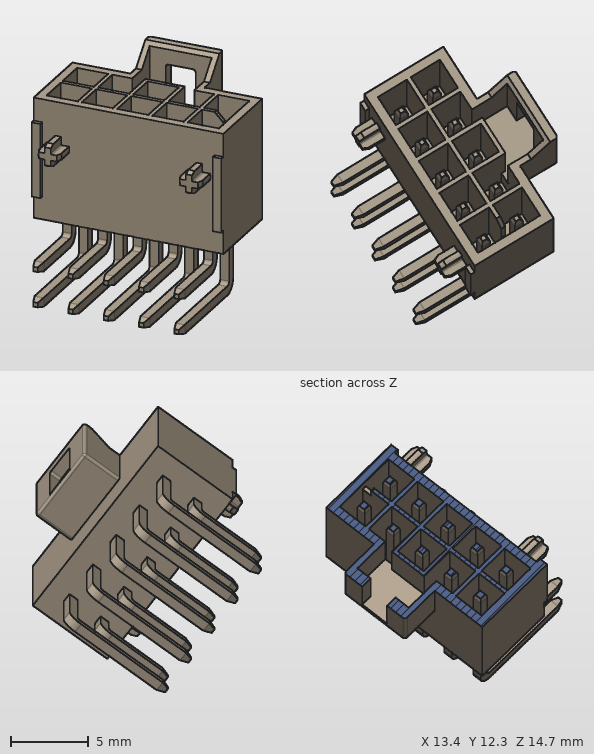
import cadquery as cq
import math


columns = 5
column_span = 10.0
column_pitch = column_span / (columns - 1)
row_pitch = column_pitch
front_row_y = 1.75
row_centres = [front_row_y, front_row_y + row_pitch]
column_centres = [(i - (columns - 1) / 2) * column_pitch for i in range(columns)]

body_length = 13.45
body_depth = 6.0
body_height = 8.5

socket_length = 2.2
socket_depth = 2.2
socket_floor_z = 1.76
rib = column_pitch - socket_length
socket_rear_y = row_centres[1] + socket_depth / 2

notch_slope = 0.62
notch_depth = 2.93
notch_slope_start = 0.22

latch_length = 5.25
latch_projection = 2.87
latch_height = 5.0
latch_rise = 1.45
latch_crest = 0.59
latch_rear_wall = 0.85
latch_side_wall = 0.43
latch_edge_radius = 0.2
latch_rear_y = body_depth + latch_projection
latch_bottom_z = body_height - latch_height
cavity_floor_z = latch_bottom_z + latch_side_wall
cavity_length = latch_length - 2 * latch_side_wall

window_length = 2.13
window_top_z = body_height + 0.12

foot_length = 0.62
foot_height = 5.25
foot_thickness = 0.31

peg_diameter = 1.63
peg_projection = 1.58
peg_arm = 0.44
peg_z = 5.29
peg_tip_length = 0.38
peg_tip_inset = 0.16
peg_corner_radius = 0.07

pin_width = 0.65
pin_inner_radius = 0.26
pin_projection = 3.47
pin_drop = 4.7
pin_tip_length = 0.57
pin_tip_width = 0.32
pin_recess = 2.05
pin_top_z = body_height - pin_recess
lowest_tail_z = pin_width / 2 - pin_drop


def box(x_range, y_range, z_range):
    """Box between pairs of X, Y and Z limits."""
    size = [b - a for a, b in (x_range, y_range, z_range)]
    corner = (x_range[0], y_range[0], z_range[0])
    return cq.Workplane("XY").box(*size, centered=False).translate(corner)


def centred(middle, width):
    """Pair of limits lying symmetrically about a middle."""
    return (middle - width / 2, middle + width / 2)


def latch():
    """Outer block of the latch, sloped at 45 degrees up to its crest."""
    slope_start_y = latch_rear_y - latch_crest - latch_rise
    profile = [
        (body_depth - rib, latch_bottom_z),
        (latch_rear_y, latch_bottom_z),
        (latch_rear_y, body_height + latch_rise),
        (latch_rear_y - latch_crest, body_height + latch_rise),
        (slope_start_y, body_height),
        (body_depth - rib, body_height),
    ]
    block = cq.Workplane("YZ").polyline(profile).close().extrude(latch_length / 2, both=True)
    rear_edges = block.faces(">Y").edges("|Z or <Z").vals()
    side_edges = block.faces("<Z").edges("|Y").vals()
    return block.newObject(rear_edges + side_edges).fillet(latch_edge_radius)


def latch_cavity():
    """Space inside the latch, open to the sockets, without the middle socket's walls."""
    z_range = (cavity_floor_z, body_height + latch_rise)
    cavity = box(centred(0, cavity_length), (socket_rear_y, latch_rear_y - latch_rear_wall), z_range)
    middle_box = box(
        centred(0, socket_length + 2 * rib),
        (socket_rear_y, socket_rear_y + rib),
        (cavity_floor_z, body_height),
    )
    return cavity.cut(middle_box)


def latch_window():
    """Opening through the rear wall of the latch, rounded at its upper corners."""
    opening = box(
        centred(0, window_length),
        (latch_rear_y - latch_rear_wall, latch_rear_y),
        (cavity_floor_z, window_top_z),
    )
    return opening.faces(">Z").edges("|Y").fillet(latch_edge_radius)


def sockets():
    """All the square pockets that surround the pins."""
    pockets = cq.Workplane("XY")
    z_range = (socket_floor_z, body_height)
    for x in column_centres:
        for y in row_centres:
            pockets = pockets.add(box(centred(x, socket_length), centred(y, socket_depth), z_range))
    return pockets.combine()


def rib_notch():
    """Cut in the rib of the last column: a 45 degree slope, then a drop to the notch floor."""
    wall_x = column_centres[-1] + socket_length / 2
    slope_x = column_centres[-1] - notch_slope_start
    slope_end_x = slope_x + notch_slope
    profile = [
        (slope_x, body_height),
        (wall_x, body_height),
        (wall_x, body_height - notch_depth),
        (slope_end_x, body_height - notch_depth),
        (slope_end_x, body_height - notch_slope),
    ]
    rear_y = row_centres[1] - socket_depth / 2
    rib_thickness = row_pitch - socket_depth
    return (
        cq.Workplane("XZ", origin=(0, rear_y, 0))
        .polyline(profile)
        .close()
        .extrude(rib_thickness)
    )


def foot(side):
    """Standoff strip along one end of the mounting face."""
    x_middle = side * (body_length - foot_length) / 2
    return box(centred(x_middle, foot_length), (-foot_thickness, 0), centred(body_height / 2, foot_height))


def peg(x):
    """Cross trimmed by a cylinder that narrows to a cone at its tip."""
    radius = peg_diameter / 2
    y_range = (-peg_projection, 0)
    upright = box(centred(0, peg_arm), y_range, centred(0, peg_diameter))
    level = box(centred(0, peg_diameter), y_range, centred(0, peg_arm))
    core = cq.selectors.BoxSelector(
        (-peg_arm, -peg_projection, -peg_arm),
        (peg_arm, 0, peg_arm),
    )
    cross = upright.union(level).edges("|Y").edges(core).fillet(peg_corner_radius)
    envelope = (
        cq.Workplane("XY")
        .polyline([
            (0, 0),
            (radius, 0),
            (radius, peg_tip_length - peg_projection),
            (radius - peg_tip_inset, -peg_projection),
            (0, -peg_projection),
        ])
        .close()
        .revolve(360, (0, 0, 0), (0, 1, 0))
    )
    return cross.intersect(envelope).translate((x, 0, peg_z))


def pin_tip(plane):
    """Tapered square point standing on a plane."""
    return (
        cq.Workplane(plane)
        .rect(pin_width, pin_width)
        .workplane(offset=pin_tip_length)
        .rect(pin_tip_width, pin_tip_width)
        .loft(combine=True)
    )


def pin(x, y, tail_z):
    """Square pin bent from the socket axis to the mounting direction, pointed at both ends."""
    bend_radius = pin_inner_radius + pin_width / 2
    upright_end_z = pin_top_z - pin_tip_length
    tail_end_y = pin_tip_length - pin_projection
    diagonal = bend_radius * (1 - math.sqrt(0.5))
    path = (
        cq.Workplane("YZ", origin=(x, 0, 0))
        .moveTo(y, upright_end_z)
        .lineTo(y, tail_z + bend_radius)
        .threePointArc((y - diagonal, tail_z + diagonal), (y - bend_radius, tail_z))
        .lineTo(tail_end_y, tail_z)
    )
    shank = cq.Workplane("XY", origin=(x, y, upright_end_z)).rect(pin_width, pin_width).sweep(path)
    contact_plane = cq.Plane((x, y, upright_end_z), (1, 0, 0), (0, 0, 1))
    tail_plane = cq.Plane((x, tail_end_y, tail_z), (1, 0, 0), (0, -1, 0))
    return shank.union(pin_tip(contact_plane)).union(pin_tip(tail_plane))


result = box(centred(0, body_length), (0, body_depth), (0, body_height))
result = result.union(latch())
result = result.cut(sockets()).cut(latch_cavity()).cut(latch_window()).cut(rib_notch())

for side in (-1, 1):
    result = result.union(foot(side))
    result = result.union(peg(side * column_span / 2))

tail_levels = [lowest_tail_z + row_pitch, lowest_tail_z]
for pin_x in column_centres:
    for pin_y, tail_level in zip(row_centres, tail_levels):
        result = result.union(pin(pin_x, pin_y, tail_level))